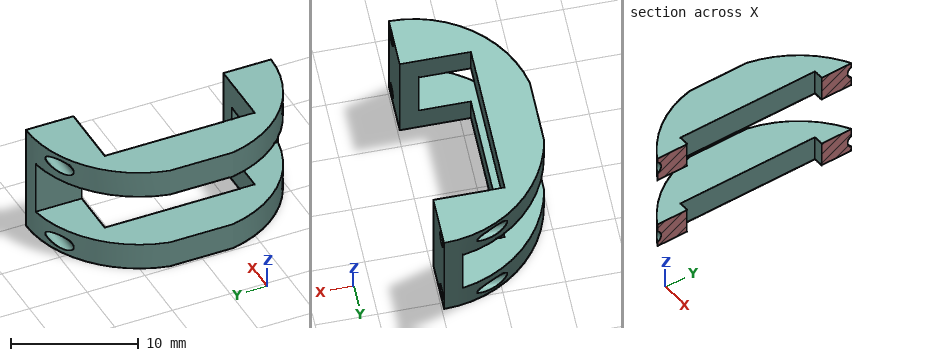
import cadquery as cq
import math

length = 21.23
depth = 9.62
height = 9.38

arc_radius = 9.8
arc_center_y = length / 2 - arc_radius

opening_depth = 5.7
opening_width = 12.97

slot_height = 4.67
end_wall_thickness = 1.53

hole_diameter = 1.2
hole_spacing_y = 19.23
hole_spacing_z = 7.37


def make_body():
    """Extrude the rounded outline, centered on Z = 0."""
    flat_half_width = arc_center_y + math.sqrt(arc_radius**2 - depth**2)
    middle_angle = math.asin(depth / arc_radius) / 2
    middle_x = -arc_radius * math.sin(middle_angle)
    middle_y = arc_center_y + arc_radius * math.cos(middle_angle)
    return (
        cq.Workplane("XY")
        .moveTo(0, -length / 2)
        .lineTo(0, length / 2)
        .threePointArc((middle_x, middle_y), (-depth, flat_half_width))
        .lineTo(-depth, -flat_half_width)
        .threePointArc((middle_x, -middle_y), (0, -length / 2))
        .close()
        .extrude(height / 2, both=True)
    )


def make_opening():
    """Block that opens the flat side between the two ends."""
    return cq.Workplane("XY").box(opening_depth, opening_width, height).translate((-opening_depth / 2, 0, 0))


def make_slot():
    """Block that splits the front into two plates and leaves the end walls."""
    slot_depth = depth - end_wall_thickness
    slot_center_x = -end_wall_thickness - slot_depth / 2
    return cq.Workplane("XY").box(slot_depth, length, slot_height).translate((slot_center_x, 0, 0))


def make_holes():
    """Four cylinders through the ends of the plates."""
    return (
        cq.Workplane("YZ")
        .rarray(hole_spacing_y, hole_spacing_z, 2, 2)
        .circle(hole_diameter / 2)
        .extrude(-depth)
    )


result = make_body().cut(make_opening()).cut(make_slot()).cut(make_holes())